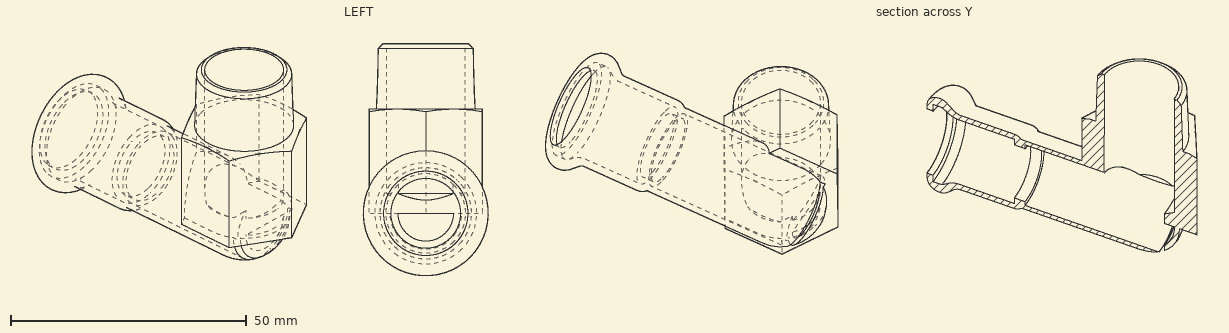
import cadquery as cq
import math

length = 64.85
total_height = 49.2
hex_flats = 24.0
hex_height = 22.1
hex_corners = hex_flats / math.cos(math.pi / 6)
tube_start = hex_corners / 2 - length

tube_radius = 19.4 / 2
socket_radius = 21.0 / 2
bead_diameter = 26.5
bead_radius = 3.0
bead_center_radius = bead_diameter / 2 - bead_radius
bead_angle = math.radians(45)
bead_blend_start = 6.5
bead_blend_radius = 11.15
socket_straight_start = 7.9
socket_straight_end = 21.0
step_end = 23.4
step_round = 1.05
step_cone_width = step_end - socket_straight_end - 2 * step_round
step_cone_drop = 0.25
step_round_drop = (socket_radius - tube_radius - step_cone_drop) / 2

socket_bore_radius = 8.95
socket_depth = 21.0
lip_bore_radius = 7.4
stop_lip_width = 2.6
chamber_radius = 8.4
chamber_start = tube_start + socket_depth + stop_lip_width
chamber_end = 6.0
groove_start = 1.5
groove_end = 3.6
groove_radius = 10.75
lead_cone_end = 5.2
lead_cone_radius = 9.7
lead_round_end = 7.9

outlet_top = total_height - bead_diameter / 2
outlet_base_radius = 10.5
outlet_tip_radius = 10.1
outlet_rim_radius = 9.1
outlet_chamfer_height = 1.05
outlet_bore_radius = 8.35
outlet_bore_floor = 4.15
drill_slope = math.tan(math.radians(30))

hex_face_radius = 11.95
hex_chamfer_height = 0.6
envelope_margin = 0.65


def rod(radius, start, end):
    """Cylinder along X between two positions."""
    return cq.Workplane("YZ", origin=(start, 0, 0)).circle(radius).extrude(end - start)


def make_tube():
    """Beaded socket and tube, closed by a spherical end."""
    bead_end_offset = bead_radius * math.sin(bead_angle)
    middle_angle = (bead_angle - math.pi / 2) / 2
    profile = (
        cq.Workplane("XZ")
        .moveTo(tube_start, 0)
        .lineTo(tube_start, bead_center_radius)
        .threePointArc(
            (
                tube_start + bead_radius * (1 + math.sin(middle_angle)),
                bead_center_radius + bead_radius * math.cos(middle_angle),
            ),
            (
                tube_start + bead_radius + bead_end_offset,
                bead_center_radius + bead_radius * math.cos(bead_angle),
            ),
        )
        .lineTo(tube_start + bead_blend_start, bead_blend_radius)
        .tangentArcPoint((tube_start + socket_straight_start, socket_radius), relative=False)
        .lineTo(tube_start + socket_straight_end, socket_radius)
        .tangentArcPoint((step_round, -step_round_drop))
        .line(step_cone_width, -step_cone_drop)
        .tangentArcPoint((step_round, -step_round_drop))
        .lineTo(0, tube_radius)
        .threePointArc(
            (tube_radius * math.sin(math.pi / 4), tube_radius * math.cos(math.pi / 4)),
            (tube_radius, 0),
        )
        .close()
    )
    return profile.revolve(360, (0, 0, 0), (1, 0, 0))


def make_groove():
    """Seal groove behind the lip, narrowing through a cone and a round into the socket bore."""
    return (
        cq.Workplane("XZ")
        .moveTo(tube_start + groove_start, 0)
        .lineTo(tube_start + groove_start, groove_radius)
        .lineTo(tube_start + groove_end, groove_radius)
        .lineTo(tube_start + lead_cone_end, lead_cone_radius)
        .tangentArcPoint((tube_start + lead_round_end, socket_bore_radius), relative=False)
        .lineTo(tube_start + lead_round_end, 0)
        .close()
        .revolve(360, (0, 0, 0), (1, 0, 0))
    )


def make_hexagon():
    """Hexagonal body with its upper corners chamfered by a cone."""
    prism = cq.Workplane("XY").polygon(6, hex_corners).extrude(hex_height)
    corner_radius = hex_corners / 2
    slope = hex_chamfer_height / (corner_radius - hex_face_radius)
    envelope_radius = corner_radius + envelope_margin
    envelope = (
        cq.Workplane("XZ")
        .lineTo(envelope_radius, 0)
        .lineTo(envelope_radius, hex_height - slope * (envelope_radius - hex_face_radius))
        .lineTo(hex_face_radius, hex_height)
        .lineTo(0, hex_height)
        .close()
        .revolve(360, (0, 0, 0), (0, 1, 0))
    )
    return prism.intersect(envelope)


def make_outlet():
    """Tapered outlet with a chamfered rim."""
    return (
        cq.Workplane("XZ")
        .moveTo(0, hex_height)
        .lineTo(outlet_base_radius, hex_height)
        .lineTo(outlet_tip_radius, outlet_top - outlet_chamfer_height)
        .lineTo(outlet_rim_radius, outlet_top)
        .lineTo(0, outlet_top)
        .close()
        .revolve(360, (0, 0, 0), (0, 1, 0))
    )


def make_outlet_bore():
    """Vertical blind bore with a conical drill floor."""
    return (
        cq.Workplane("XZ")
        .moveTo(0, outlet_bore_floor - outlet_bore_radius * drill_slope)
        .lineTo(outlet_bore_radius, outlet_bore_floor)
        .lineTo(outlet_bore_radius, outlet_top)
        .lineTo(0, outlet_top)
        .close()
        .revolve(360, (0, 0, 0), (0, 1, 0))
    )


def make_end_cavity():
    """Spherical hollow below the hexagon, beyond the flat end of the chamber."""
    size = 2 * tube_radius
    keep = cq.Workplane("XY").box(size, size, size, centered=(False, True, False))
    return cq.Workplane("XY").sphere(chamber_radius).intersect(
        keep.translate((chamber_end, 0, -size))
    )


body = make_tube().union(make_hexagon()).union(make_outlet())
result = (
    body.cut(rod(socket_bore_radius, tube_start, tube_start + socket_depth))
    .cut(make_groove())
    .cut(rod(lip_bore_radius, tube_start, chamber_start))
    .cut(rod(chamber_radius, chamber_start, chamber_end))
    .cut(make_outlet_bore())
    .cut(make_end_cavity())
)